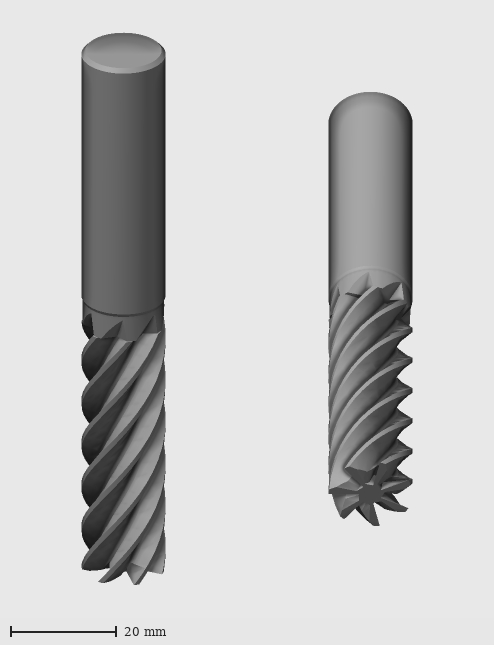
import cadquery as cq
import math

TOTAL_LENGTH = 110.0
TOOL_RADIUS = 16.0 / 2
CUT_LENGTH = 51.9

NECK_RADIUS = 7.7
NECK_TOP = 57.2
STEP_HEIGHT = 0.7
TOP_CHAMFER = 0.8

FLUTE_COUNT = 7
FLUTE_STEP = 360.0 / FLUTE_COUNT
CUTTER_TWIST = 298.4
FIRST_EDGE_ANGLE = -75.0
TOP_EDGE_ANGLE = FIRST_EDGE_ANGLE + CUTTER_TWIST
HELIX_SLOPE = math.radians(CUTTER_TWIST) * TOOL_RADIUS / CUT_LENGTH

LAND_END = (8.0, 7.9)
RELIEF_MIDDLE = (16.0, 6.5)
RELIEF_END = (28.5, 5.0)
ROOT_MIDDLE = (34.5, 4.6)
ROOT_END = (41.0, 5.3)

RUNOUT_TOP = 56.4
RUNOUT_TAIL = (-37.0, NECK_RADIUS)
RUNOUT_VALLEY = (-16.0, 5.7)
RUNOUT_WALL = (1.0, NECK_RADIUS)
RUNOUT_TIP = (-5.0, NECK_RADIUS)
RUNOUT_REACH = 4.0

GASH_HEIGHT = 3.1
GASH_ROOF_WIDTH = 2.0
GASH_FLANK_WIDTH = 2.9
END_RELIEF_HEIGHT = 0.7
END_RELIEF_WIDTH = 5.9
GASH_INNER_RADIUS = 2.2
GASH_OUTER_RADIUS = TOOL_RADIUS + 1.1


def polar(angle, radius):
    """Point in the XY plane at an angle in degrees and a radius."""
    turn = math.radians(angle)
    return (radius * math.cos(turn), radius * math.sin(turn))


def from_edge(edge_angle, point):
    """Point in the XY plane given as (angle from a cutting edge, radius)."""
    angle, radius = point
    return polar(edge_angle + angle, radius)


def stretch(start, end, factor):
    """Point on the line from start through end, at a multiple of their distance."""
    return tuple(a + factor * (b - a) for a, b in zip(start, end))


def make_runout(edge_angle):
    """V-shaped groove that gets shallower upward until it leaves the neck at its tip."""
    valley = from_edge(edge_angle, RUNOUT_VALLEY)
    wall = from_edge(edge_angle, RUNOUT_WALL)
    tail = from_edge(edge_angle, RUNOUT_TAIL)
    tip = from_edge(edge_angle, RUNOUT_TIP)
    corners = [valley, stretch(valley, wall, RUNOUT_REACH), stretch(valley, tail, RUNOUT_REACH)]
    section = cq.Workplane("XY", origin=(0, 0, CUT_LENGTH)).polyline(corners).close()
    rise = cq.Vector(tip[0] - valley[0], tip[1] - valley[1], RUNOUT_TOP - CUT_LENGTH)
    face = cq.Face.makeFromWires(section.val())
    return cq.Solid.extrudeLinear(face, rise)


def make_shank():
    """Chamfered shank and its neck, with a run-out for every flute."""
    outline = [
        (0, CUT_LENGTH),
        (NECK_RADIUS, CUT_LENGTH),
        (NECK_RADIUS, NECK_TOP),
        (TOOL_RADIUS, NECK_TOP + STEP_HEIGHT),
        (TOOL_RADIUS, TOTAL_LENGTH - TOP_CHAMFER),
        (TOOL_RADIUS - TOP_CHAMFER, TOTAL_LENGTH),
        (0, TOTAL_LENGTH),
    ]
    body = cq.Workplane("XZ").polyline(outline).close().revolve(360, (0, 0, 0), (0, 1, 0))
    runouts = [make_runout(TOP_EDGE_ANGLE + i * FLUTE_STEP) for i in range(FLUTE_COUNT)]
    return body.val().cut(*runouts)


def gash_wire(radius):
    """Gash outline across the tooth gap at one radius; its widths shrink toward the axis."""
    narrowing = radius / TOOL_RADIUS
    lean = GASH_HEIGHT * HELIX_SLOPE
    outline = [
        (0, 0),
        (lean, GASH_HEIGHT),
        (lean - GASH_ROOF_WIDTH, GASH_HEIGHT),
        (-GASH_FLANK_WIDTH, END_RELIEF_HEIGHT),
        (-END_RELIEF_WIDTH, 0),
    ]
    points = [cq.Vector(radius, across * narrowing, height) for across, height in outline]
    return cq.Wire.makePolygon(points, close=True)


def make_gash(edge_angle):
    """Radial notch ahead of one cutting edge, leaning with the helix."""
    wires = [gash_wire(GASH_INNER_RADIUS), gash_wire(GASH_OUTER_RADIUS)]
    notch = cq.Solid.makeLoft(wires, True)
    return notch.rotate(cq.Vector(0, 0, 0), cq.Vector(0, 0, 1), edge_angle)


def make_cutter():
    """Twisted cutter: land, curved relief, rounded root and rake face per tooth, gashed at the end."""
    section = cq.Workplane("XY").moveTo(*polar(FIRST_EDGE_ANGLE, TOOL_RADIUS))
    for i in range(FLUTE_COUNT):
        edge = FIRST_EDGE_ANGLE + i * FLUTE_STEP
        section = (
            section.lineTo(*from_edge(edge, LAND_END))
            .threePointArc(from_edge(edge, RELIEF_MIDDLE), from_edge(edge, RELIEF_END))
            .threePointArc(from_edge(edge, ROOT_MIDDLE), from_edge(edge, ROOT_END))
        )
        if i < FLUTE_COUNT - 1:
            section = section.lineTo(*polar(edge + FLUTE_STEP, TOOL_RADIUS))
    body = section.close().twistExtrude(CUT_LENGTH, CUTTER_TWIST)
    gashes = [make_gash(FIRST_EDGE_ANGLE + i * FLUTE_STEP) for i in range(FLUTE_COUNT)]
    return body.val().cut(*gashes)


shank = make_shank()
cutter = make_cutter()

result = cq.Compound.makeCompound([*shank.Solids(), *cutter.Solids()])